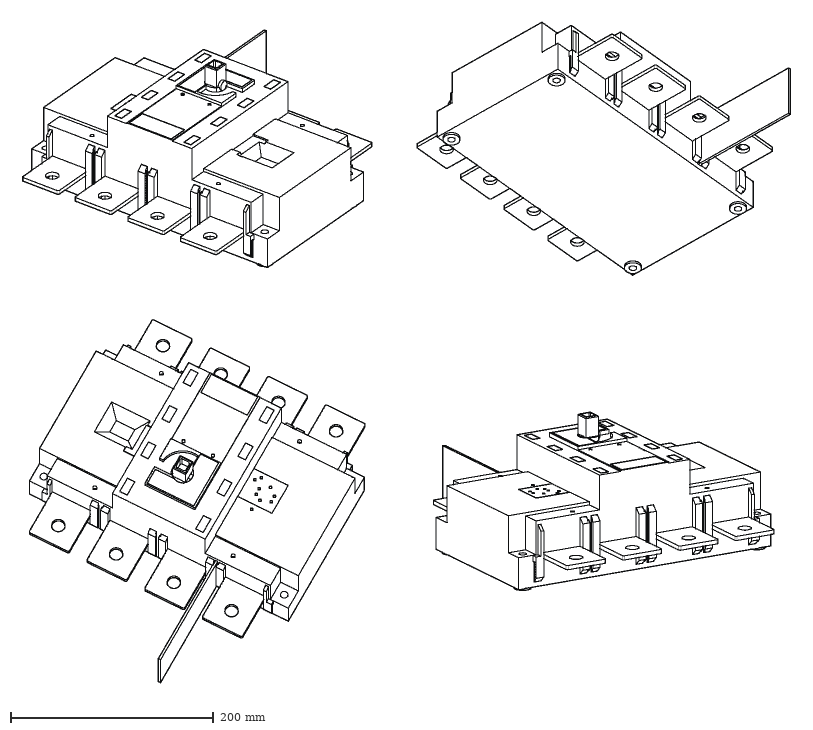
import cadquery as cq
import math

BASE_Z = 2.3
HOUSING_X = 290.0
BODY_FRONT_Y = -79.2
BODY_BACK_Y = 80.5
LEDGE_Z = 35.3
STRIP_X = 250.0
STRIP_Z = 70.3
SIDE_Y = 118.8
SIDE_Z = 73.5
TOWER_X = 104.0
TOWER_Z = 106.3

MOUNT_X = 134.5
MOUNT_Y = 69.5
MOUNT_DIAMETER = 7.3
FOOT_DIAMETER = 16.8
STRIP_HOLE_X = 77.5
STRIP_HOLE_DIAMETER = 4.0
STRIP_HOLE_DEPTH = 6.5

POLE_PITCH = 64.7
POLE_CENTRES = [POLE_PITCH * step for step in (-1.5, -0.5, 0.5, 1.5)]
GAP_CENTRES = [POLE_PITCH * step for step in (-1, 0, 1)]
TERMINAL_X = 45.0
TERMINAL_Y = 259.5
TERMINAL_Z = 32.0
TERMINAL_THICKNESS = 4.3
TERMINAL_CORNER = 1.5
TERMINAL_HOLE_Y = 109.5
TERMINAL_HOLE_DIAMETER = 13.2

RIB_FACE_Y = 84.8
RIB_BOTTOM_Z = 7.5
RIB_TOP_Z = 66.0
RIB_BEVEL = 5.3
GROOVE_Y = 82.2
GROOVE_HALF = 2.5
NECK_HALF = 1.5
OUTER_RIB_X = 128.5
OUTER_RIB_TOP_X = 122.8
OUTER_RIB_STEP_Z = 35.0
OUTER_NOTCH_TOP_Z = 28.7
RIB_NOTCH = 1.0

BARRIER_X = GAP_CENTRES[0]
BARRIER_THICKNESS = 2.5
BARRIER_END_Y = 200.3
BARRIER_BOTTOM_Z = 8.0
BARRIER_TOP_Z = 65.7

PANEL_X = 56.0
PANEL_Z = 107.2
PANEL_TOP_Y = 57.5
PLATE_FRONT_Y = 2.5
PLATE_Z = 110.5
PANEL_HOLE_X = 16.5
PANEL_HOLE_Y = -2.0
PANEL_HOLE_DIAMETER = 3.3
LABEL_RELIEF = 0.3
ENGRAVING = 0.3
LABEL_X = 51.8
LABEL_FRONT_Y = -78.2
LABEL_BACK_Y = -56.0

SHAFT_Y = 30.0
SHAFT_X_SIZE = 14.5
SHAFT_Y_SIZE = 15.5
SHAFT_TOP_Z = 132.0
SHAFT_CHAMFER = 1.0
SOCKET_SIZE = 10.5
SOCKET_CHAMFER = 1.3
SOCKET_DEPTH = 13.2
COLLAR_RADIUS = 10.5
COLLAR_HEIGHT = 0.5
POINTER_TOP_Z = 111.5
POINTER_WIDTH = 5.3
STOP_TOP_Z = 116.0
STOP_RADIUS = 5.3

SWEEP_RADIUS = 24.0
SWEEP_LEFT_X = -4.5
SWEEP_BACK_Y = SHAFT_Y + 7.0
SWEEP_EXIT_Y = SHAFT_Y - 3.3
PLATE_LABEL_LEG_X = -5.5
PLATE_LABEL_ARM_Y = SHAFT_Y + 9.2
PLATE_LABEL_FRONT_Y = 3.5
PLATE_LABEL_BACK_Y = 56.0

WINDOW_X = 42.5
WINDOW_SIZE = (8.2, 16.2)
WINDOW_PITCH = 44.2
WINDOW_MIDDLE_Y = (BODY_FRONT_Y + BODY_BACK_Y) / 2
WINDOW_YS = [WINDOW_MIDDLE_Y + WINDOW_PITCH * step for step in (-1.5, -0.5, 0.5, 1.5)]

WELL_X0, WELL_X1 = 62.5, 105.5
WELL_HALF_Y = 18.0
WELL_DEPTH = 11.2
WELL_TAPER = 45
CHANNEL_END_X = 70.5
CHANNEL_Y0, CHANNEL_Y1 = -13.0, 22.5
CHANNEL_DEPTH = 1.5
TAG_X0 = -90.5
TAG_Y0, TAG_Y1 = -21.5, 12.5
PIN_HOLE_DIAMETER = 2.5
PIN_HOLE_DEPTH = 1.5
PIN_HOLES = [
    (-70.5, 18.0), (-73.3, 5.5), (-83.8, 1.5),
    (-67.0, 1.5), (-83.8, -5.0), (-66.5, -5.0),
    (-76.0, -11.5), (-58.5, -11.5), (-63.0, -16.5),
]


def block(x0, x1, y0, y1, z0, z1):
    """Box given by its limits along each axis."""
    return cq.Workplane("XY").box(x1 - x0, y1 - y0, z1 - z0, centered=False).translate((x0, y0, z0))


def centred_block(width, y0, y1, z0, z1):
    """Box symmetric about the YZ plane."""
    return block(-width / 2, width / 2, y0, y1, z0, z1)


def cylinders(points, diameter, z0, z1):
    """Upright cylinders at the given points."""
    return cq.Workplane("XY").workplane(offset=z0).pushPoints(points).circle(diameter / 2).extrude(z1 - z0)


def four_corners(x, y):
    return [(sx * x, sy * y) for sx in (-1, 1) for sy in (-1, 1)]


def make_housing():
    housing = centred_block(HOUSING_X, BODY_FRONT_Y, BODY_BACK_Y, BASE_Z, LEDGE_Z)
    housing = housing.union(centred_block(STRIP_X, BODY_FRONT_Y, BODY_BACK_Y, BASE_Z, STRIP_Z))
    housing = housing.union(centred_block(HOUSING_X, -SIDE_Y / 2, SIDE_Y / 2, BASE_Z, SIDE_Z))
    housing = housing.union(centred_block(TOWER_X, BODY_FRONT_Y, BODY_BACK_Y, BASE_Z, TOWER_Z))
    corners = four_corners(MOUNT_X, MOUNT_Y)
    housing = housing.union(cylinders(corners, FOOT_DIAMETER, 0, BASE_Z))
    housing = housing.cut(cylinders(corners, MOUNT_DIAMETER, 0, LEDGE_Z))
    strip_holes = four_corners(STRIP_HOLE_X, MOUNT_Y)
    return housing.cut(cylinders(strip_holes, STRIP_HOLE_DIAMETER, STRIP_Z - STRIP_HOLE_DEPTH, STRIP_Z))


def make_terminals():
    bars = cq.Workplane("XY").workplane(offset=TERMINAL_Z)
    bars = bars.pushPoints([(x, 0) for x in POLE_CENTRES])
    bars = bars.rect(TERMINAL_X, TERMINAL_Y).extrude(TERMINAL_THICKNESS).edges("|Z").fillet(TERMINAL_CORNER)
    holes = [(x, side * TERMINAL_HOLE_Y) for x in POLE_CENTRES for side in (-1, 1)]
    return bars.cut(cylinders(holes, TERMINAL_HOLE_DIAMETER, TERMINAL_Z, TERMINAL_Z + TERMINAL_THICKNESS))


def make_ribs():
    """Ribs of both long walls; each pair leaves a T-shaped groove for a barrier."""
    rib_half = (POLE_PITCH - TERMINAL_X) / 2
    depth = 2 * RIB_FACE_Y
    height = RIB_TOP_Z - RIB_BOTTOM_Z
    middle_z = RIB_BOTTOM_Z + height / 2
    end_x = POLE_CENTRES[-1] + TERMINAL_X / 2

    ribs = cq.Workplane("XY").pushPoints([(x, 0) for x in GAP_CENTRES]).rect(2 * rib_half, depth)
    ribs = ribs.extrude(height).translate((0, 0, RIB_BOTTOM_Z))
    for x in GAP_CENTRES:
        ribs = ribs.cut(block(x - NECK_HALF, x + NECK_HALF, -RIB_FACE_Y, RIB_FACE_Y, RIB_BOTTOM_Z, RIB_TOP_Z))
        ribs = ribs.cut(block(x - GROOVE_HALF, x + GROOVE_HALF, -GROOVE_Y, GROOVE_Y, RIB_BOTTOM_Z, RIB_TOP_Z))

    end_rib = block(end_x, OUTER_RIB_TOP_X, -RIB_FACE_Y, RIB_FACE_Y, RIB_BOTTOM_Z, RIB_TOP_Z)
    end_rib = end_rib.union(
        block(end_x, OUTER_RIB_X, -RIB_FACE_Y, RIB_FACE_Y, RIB_BOTTOM_Z, OUTER_RIB_STEP_Z))
    end_rib = end_rib.cut(
        block(OUTER_RIB_X - RIB_NOTCH, OUTER_RIB_X, -GROOVE_Y, GROOVE_Y, RIB_BOTTOM_Z, OUTER_NOTCH_TOP_Z))
    ribs = ribs.union(end_rib).union(end_rib.mirror("YZ"))

    envelope = cq.Workplane("XY").box(HOUSING_X, depth, height).edges("|X").chamfer(RIB_BEVEL)
    ribs = ribs.intersect(envelope.translate((0, 0, middle_z)))
    return ribs.cut(centred_block(HOUSING_X, BODY_FRONT_Y, BODY_BACK_Y, BASE_Z, STRIP_Z))


def make_barrier():
    half = BARRIER_THICKNESS / 2
    sheet = block(BARRIER_X - half, BARRIER_X + half, BODY_BACK_Y, BARRIER_END_Y,
                  BARRIER_BOTTOM_Z, BARRIER_TOP_Z)
    flange_top = RIB_TOP_Z - RIB_BEVEL
    flange = block(BARRIER_X - GROOVE_HALF, BARRIER_X + GROOVE_HALF, BODY_BACK_Y, GROOVE_Y,
                   BARRIER_BOTTOM_Z, flange_top)
    return sheet.union(flange)


def make_panel():
    half = PANEL_X / 2
    panel = centred_block(PANEL_X, BODY_FRONT_Y, PANEL_TOP_Y, TOWER_Z, PANEL_Z)
    panel = panel.union(centred_block(PANEL_X, PLATE_FRONT_Y, PANEL_TOP_Y, TOWER_Z, PLATE_Z))
    holes = [(-PANEL_HOLE_X, PANEL_HOLE_Y), (PANEL_HOLE_X, PANEL_HOLE_Y)]
    panel = panel.cut(cylinders(holes, PANEL_HOLE_DIAMETER, TOWER_Z, PANEL_Z))
    panel = panel.union(centred_block(LABEL_X, LABEL_FRONT_Y, LABEL_BACK_Y, PANEL_Z, PANEL_Z + LABEL_RELIEF))

    plate_label_top = PLATE_Z + LABEL_RELIEF
    plate_label = centred_block(LABEL_X, PLATE_LABEL_FRONT_Y, PLATE_LABEL_BACK_Y, PLATE_Z, plate_label_top)
    plate_label = plate_label.cut(block(
        PLATE_LABEL_LEG_X, half, PLATE_LABEL_FRONT_Y, PLATE_LABEL_ARM_Y, PLATE_Z, plate_label_top))
    panel = panel.union(plate_label)

    arc_end_x = math.sqrt(SWEEP_RADIUS**2 - (SHAFT_Y - SWEEP_EXIT_Y)**2)
    arc_start_y = SHAFT_Y - math.sqrt(SWEEP_RADIUS**2 - SWEEP_LEFT_X**2)
    arc_middle = SWEEP_RADIUS * math.sqrt(0.5)
    sweep = (
        cq.Workplane("XY").workplane(offset=TOWER_Z)
        .moveTo(SWEEP_LEFT_X, SWEEP_BACK_Y)
        .lineTo(SWEEP_LEFT_X, arc_start_y)
        .threePointArc((arc_middle, SHAFT_Y - arc_middle), (arc_end_x, SWEEP_EXIT_Y))
        .lineTo(half, SWEEP_EXIT_Y)
        .lineTo(half, SWEEP_BACK_Y)
        .close()
        .extrude(PLATE_Z - TOWER_Z)
    )
    return panel.cut(sweep)


def make_shaft():
    collar_top = PLATE_Z + COLLAR_HEIGHT
    collar = cylinders([(0, SHAFT_Y)], 2 * COLLAR_RADIUS, TOWER_Z, collar_top)
    x_half = SHAFT_X_SIZE / 2
    y_half = SHAFT_Y_SIZE / 2
    shaft = block(-x_half, x_half, SHAFT_Y - y_half, SHAFT_Y + y_half, TOWER_Z, SHAFT_TOP_Z)
    shaft = shaft.faces(">Z").edges().chamfer(SHAFT_CHAMFER)
    socket = cq.Workplane("XY").box(SOCKET_SIZE, SOCKET_SIZE, SOCKET_DEPTH)
    socket = socket.edges("|Z").chamfer(SOCKET_CHAMFER).translate((0, SHAFT_Y, SHAFT_TOP_Z - SOCKET_DEPTH / 2))

    pointer = block(-COLLAR_RADIUS, 0, SHAFT_Y - POINTER_WIDTH / 2, SHAFT_Y + POINTER_WIDTH / 2,
                    TOWER_Z, POINTER_TOP_Z)
    pointer = pointer.intersect(cylinders([(0, SHAFT_Y)], 2 * COLLAR_RADIUS, TOWER_Z, POINTER_TOP_Z))

    stop = cq.Workplane("YZ").center(SHAFT_Y, STOP_TOP_Z - STOP_RADIUS)
    stop = stop.circle(STOP_RADIUS).extrude(COLLAR_RADIUS)
    return collar.union(shaft).union(pointer).union(stop).cut(socket)


def make_tower_windows():
    """Shallow rectangular fields in two columns along the tower."""
    points = [(side * WINDOW_X, y) for side in (-1, 1) for y in WINDOW_YS]
    windows = cq.Workplane("XY").workplane(offset=TOWER_Z - ENGRAVING).pushPoints(points)
    return windows.rect(*WINDOW_SIZE).extrude(ENGRAVING)


def make_well():
    """Tapered well in the right cover with a shallow channel to the tower."""
    length = WELL_X1 - WELL_X0
    width = 2 * WELL_HALF_Y
    well = cq.Workplane("XY").workplane(offset=SIDE_Z).center((WELL_X0 + WELL_X1) / 2, 0).rect(length, width)
    well = well.extrude(-WELL_DEPTH, taper=WELL_TAPER)
    return well.union(
        block(TOWER_X / 2, CHANNEL_END_X, CHANNEL_Y0, CHANNEL_Y1, SIDE_Z - CHANNEL_DEPTH, SIDE_Z))


def make_tag():
    """Engraved field with pin holes in the left cover."""
    tag = block(TAG_X0, -TOWER_X / 2, TAG_Y0, TAG_Y1, SIDE_Z - ENGRAVING, SIDE_Z)
    return tag.union(cylinders(PIN_HOLES, PIN_HOLE_DIAMETER, SIDE_Z - PIN_HOLE_DEPTH, SIDE_Z))


result = (
    make_housing()
    .union(make_terminals())
    .union(make_ribs())
    .union(make_barrier())
    .cut(make_tower_windows())
    .cut(make_well())
    .cut(make_tag())
    .union(make_panel())
    .union(make_shaft())
)